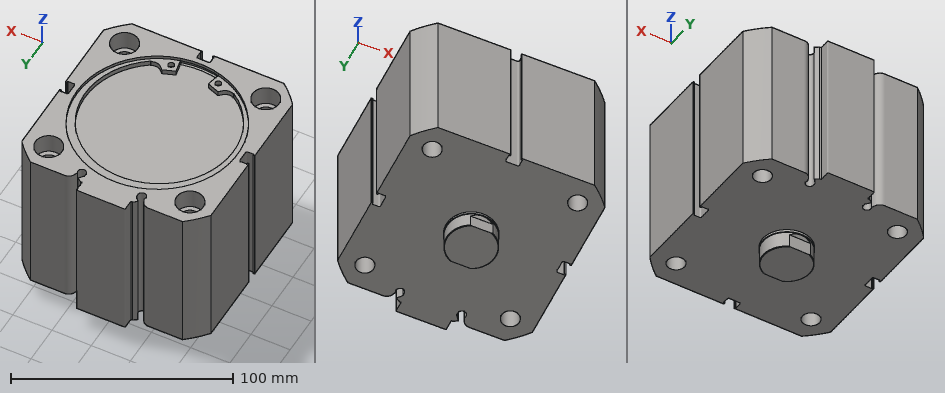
import cadquery as cq
import math


housing_width = 96.5
housing_height = 77.7
half_width = housing_width / 2
corner_radius = 61.9
rail_top_y = 53.8
rail_half_width = 12.4
rail_fillet = 0.4

rail_foot_y = 48.9
lip_x = 15.3
lip_y = 46.8
undercut_x = 13.3
undercut_top_y = 44.4
groove_bottom_radius = 2.0
groove_bottom_x = undercut_x + groove_bottom_radius
groove_bottom_y = 43.0
groove_waist_angle = math.radians(32)
shoulder_radius = 4.1
shoulder_x = 21.4
shoulder_y = half_width - shoulder_radius
shoulder_end_angle = math.radians(160)

slot_mouth_width = 5.3
slot_mouth_chamfer = 0.2
slot_width = 6.7
slot_depth = 4.6
slot_lip = 0.8
slot_floor_fillet = 0.7
slot_angles = (0, 90, -90)

hole_offset = 36.0
hole_diameter = 9.0
counterbore_diameter = 13.5
counterbore_depth = 10.2

bore_radius = 41.0
cover_thickness = 10.2
ring_setback = 1.6
ring_thickness = 2.5
groove_radius = 42.2
ring_top_z = housing_height - ring_setback
ring_bottom_z = ring_top_z - ring_thickness
cover_bottom_z = ring_bottom_z - cover_thickness

ring_inner_radius = 37.8
ring_inner_center_y = -2.0
lug_inner_corner = (8.3, -33.3)
lug_outer_corner = (14.3, -31.0)
lug_neck_start = (15.9, -32.5)
lug_neck_middle = (18.6, -33.7)
lug_neck_end = (21.2, -32.9)
ring_gap_half_width = 10.1
lug_hole_diameter = 3.0
lug_hole_x = 12.0
lug_hole_y = -35.6

rod_radius = 12.5
rod_projection = 1.2
rod_seat_depth = 20.4
tip_radius = 12.3
tip_end_z = -9.8
tip_chamfer = 0.3
tip_flat_width = 22.0
flat_top_z = -2.9


def disc(radius, bottom_z, top_z):
    """Cylinder on the bore axis between two heights."""
    return cq.Workplane("XY").workplane(offset=bottom_z).circle(radius).extrude(top_z - bottom_z)


def point_on_arc(center_x, center_y, radius, angle):
    return (center_x + radius * math.cos(angle), center_y + radius * math.sin(angle))


def rail_groove():
    """Undercut groove on the +X side of the rail."""
    waist = point_on_arc(groove_bottom_x, groove_bottom_y, groove_bottom_radius, groove_waist_angle)
    shoulder_end = point_on_arc(shoulder_x, shoulder_y, shoulder_radius, shoulder_end_angle)
    shoulder_middle_angle = (math.pi / 2 + shoulder_end_angle) / 2
    shoulder_middle = point_on_arc(shoulder_x, shoulder_y, shoulder_radius, shoulder_middle_angle)
    return (
        cq.Workplane("XY")
        .moveTo(rail_half_width, rail_top_y)
        .lineTo(rail_half_width, rail_foot_y)
        .lineTo(lip_x, lip_y)
        .lineTo(undercut_x, undercut_top_y)
        .lineTo(undercut_x, groove_bottom_y)
        .threePointArc((groove_bottom_x, groove_bottom_y - groove_bottom_radius), waist)
        .lineTo(*shoulder_end)
        .threePointArc(shoulder_middle, (shoulder_x, half_width))
        .lineTo(shoulder_x, rail_top_y)
        .close()
        .extrude(housing_height)
    )


def sensor_slot():
    """Lipped slot in the -Y face over the full height."""
    slot_lip_y = slot_lip - half_width
    floor_y = slot_depth - half_width
    chamfer_y = slot_mouth_chamfer - half_width
    mouth_half_width = slot_mouth_width / 2
    outer_half_width = mouth_half_width + slot_mouth_chamfer
    mouth = (
        cq.Workplane("XY")
        .moveTo(-outer_half_width, -half_width)
        .lineTo(-mouth_half_width, chamfer_y)
        .lineTo(-mouth_half_width, slot_lip_y)
        .lineTo(mouth_half_width, slot_lip_y)
        .lineTo(mouth_half_width, chamfer_y)
        .lineTo(outer_half_width, -half_width)
        .close()
        .extrude(housing_height)
    )
    chamber = (
        cq.Workplane("XY")
        .center(0, (slot_lip_y + floor_y) / 2)
        .rect(slot_width, floor_y - slot_lip_y)
        .extrude(housing_height)
        .edges("|Z and >Y")
        .fillet(slot_floor_fillet)
    )
    return chamber.union(mouth)


def housing_block():
    """Square block with rounded-off corners and the rail on its +Y face."""
    square = cq.Workplane("XY").rect(housing_width, housing_width).extrude(housing_height)
    block = square.intersect(disc(corner_radius, 0, housing_height))
    rail = (
        cq.Workplane("XY")
        .center(0, rail_top_y / 2)
        .rect(2 * rail_half_width, rail_top_y)
        .extrude(housing_height)
        .edges("|Z and >Y")
        .fillet(rail_fillet)
    )
    return block.union(rail)


def make_housing():
    body = housing_block()

    groove = rail_groove()
    body = body.cut(groove).cut(groove.mirror("YZ"))

    slot = sensor_slot()
    for angle in slot_angles:
        body = body.cut(slot.rotate((0, 0, 0), (0, 0, 1), angle))

    body = (
        body.faces(">Z")
        .workplane(origin=(0, 0, housing_height))
        .rect(2 * hole_offset, 2 * hole_offset, forConstruction=True)
        .vertices()
        .cboreHole(hole_diameter, counterbore_diameter, counterbore_depth)
    )

    body = body.cut(disc(bore_radius, cover_bottom_z, housing_height))
    body = body.cut(disc(groove_radius, ring_bottom_z, ring_top_z))
    return body.cut(disc(rod_radius, 0, rod_seat_depth))


def make_cover():
    return disc(bore_radius, cover_bottom_z, ring_bottom_z)


def ring_lug():
    """Plier lug on the +X side of the ring gap, running out past the rim."""
    neck_x = lug_neck_end[0]
    return (
        cq.Workplane("XY")
        .workplane(offset=ring_bottom_z)
        .moveTo(*lug_inner_corner)
        .lineTo(*lug_outer_corner)
        .lineTo(*lug_neck_start)
        .threePointArc(lug_neck_middle, lug_neck_end)
        .lineTo(neck_x, -groove_radius)
        .lineTo(ring_gap_half_width, -groove_radius)
        .close()
        .extrude(ring_thickness)
    )


def make_retaining_ring():
    blank = disc(groove_radius, ring_bottom_z, ring_top_z)
    opening = disc(ring_inner_radius, ring_bottom_z, ring_top_z).translate((0, ring_inner_center_y, 0))
    lug = ring_lug()
    lugs = lug.union(lug.mirror("YZ")).intersect(blank)

    lug_x, lug_y = lug_inner_corner
    gap = (
        cq.Workplane("XY")
        .workplane(offset=ring_bottom_z)
        .moveTo(lug_x, lug_y)
        .lineTo(ring_gap_half_width, -groove_radius)
        .lineTo(-ring_gap_half_width, -groove_radius)
        .lineTo(-lug_x, lug_y)
        .close()
        .extrude(ring_thickness)
    )
    lug_holes = (
        cq.Workplane("XY")
        .workplane(offset=ring_bottom_z)
        .pushPoints([(lug_hole_x, lug_hole_y), (-lug_hole_x, lug_hole_y)])
        .circle(lug_hole_diameter / 2)
        .extrude(ring_thickness)
    )
    return blank.cut(opening).union(lugs).cut(gap).cut(lug_holes)


def make_rod():
    """Rod with a slightly thinner tip that carries two wrench flats under 45 degree run-outs."""
    shoulder_chamfer = rod_radius - tip_radius
    shaft_end_z = -rod_projection - shoulder_chamfer
    shaft = disc(rod_radius, shaft_end_z, rod_seat_depth).faces("<Z").chamfer(shoulder_chamfer)
    tip = disc(tip_radius, tip_end_z, 0).faces("<Z").chamfer(tip_chamfer)

    flat_y = tip_flat_width / 2
    flat_cut = (
        cq.Workplane("YZ")
        .moveTo(flat_y, tip_end_z)
        .lineTo(flat_y, flat_top_z)
        .lineTo(rod_radius, flat_top_z + rod_radius - flat_y)
        .lineTo(rod_radius, tip_end_z)
        .close()
        .extrude(rod_radius, both=True)
    )
    return shaft.union(tip).cut(flat_cut).cut(flat_cut.mirror("XZ"))


housing = make_housing()
cover = make_cover()
retaining_ring = make_retaining_ring()
rod = make_rod()

result = cq.Compound.makeCompound([housing.val(), cover.val(), retaining_ring.val(), rod.val()])